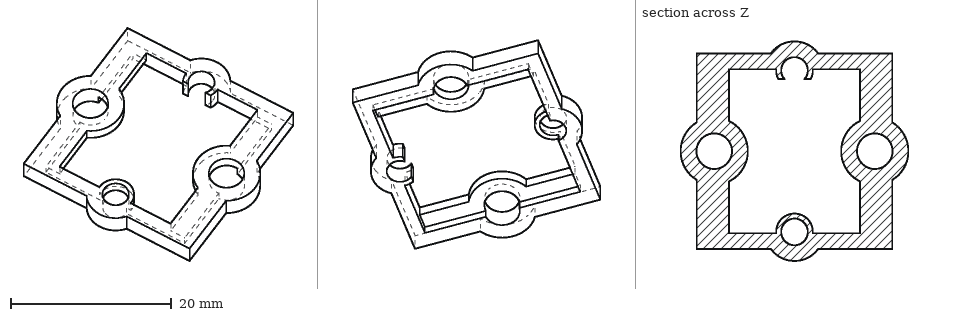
import cadquery as cq

length = 28.4
width = 27.38
thickness = 2.7

frame_side = 24.37
opening_length = 16.3
opening_width = 20.4

side_hole_offset = 10.0
side_boss_radius = length / 2 - side_hole_offset
side_hole_diameter = 4.4

end_hole_offset = 10.05
end_boss_radius = width / 2 - end_hole_offset
end_ring_radius = 2.3
end_hole_diameter = 3.3

finger_tip_y = 8.97

recess_side = opening_width
recess_depth = 1.2


def disc(x, y, radius):
    """Full-thickness round boss centred at (x, y)."""
    return cq.Workplane("XY").center(x, y).circle(radius).extrude(thickness)


def plate(size_x, size_y, height=thickness):
    """Rectangular plate centred on the Z axis, rising from the underside."""
    return cq.Workplane("XY").rect(size_x, size_y).extrude(height)


body = plate(frame_side, frame_side)
for side in (-1, 1):
    body = body.union(disc(0, side * end_hole_offset, end_boss_radius))
body = body.cut(plate(opening_length, opening_width))

for side in (-1, 1):
    body = body.union(disc(side * side_hole_offset, 0, side_boss_radius))
body = body.union(disc(0, -end_hole_offset, end_ring_radius))

body = body.cut(plate(recess_side, recess_side, recess_depth))

ring_trim = cq.Workplane("XY").rect(2 * end_ring_radius, finger_tip_y, centered=(True, False))
back_ring = disc(0, end_hole_offset, end_ring_radius).cut(ring_trim.extrude(thickness))
body = body.union(back_ring)

for side in (-1, 1):
    body = body.cut(disc(side * side_hole_offset, 0, side_hole_diameter / 2))
    body = body.cut(disc(0, side * end_hole_offset, end_hole_diameter / 2))

result = body